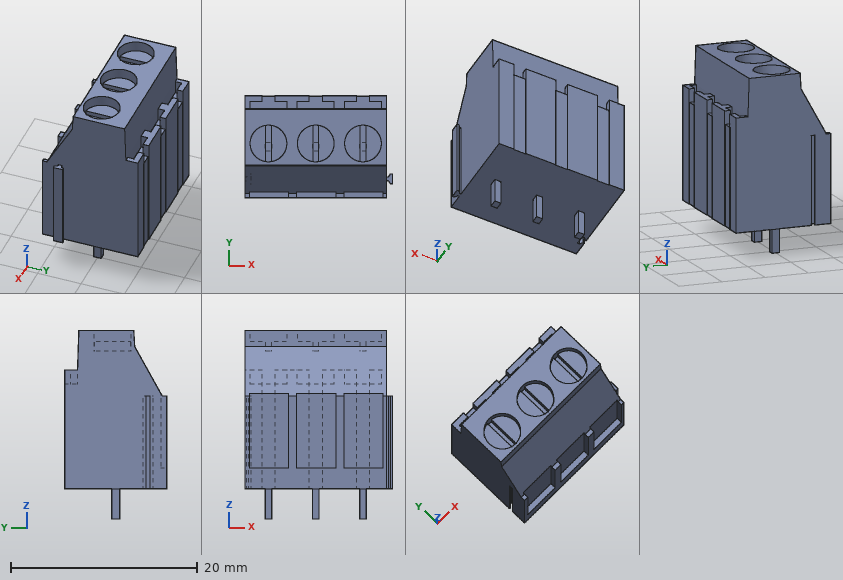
import cadquery as cq

pole_count = 3
pole_pitch = 5.08
body_width = pole_count * pole_pitch
body_depth = 11.0
body_height = 17.05

sill_depth = 0.5
sill_height = 10.0
slope_top_y = 3.45
slope_top_z = 15.3
top_front_y = 3.55
top_back_y = 9.48
ledge_front_y = 9.62
ledge_height = 12.8

screw_y = 5.85
screw_diameter = 3.95
screw_recess_depth = 1.2
driver_slot_width = 0.6
driver_slot_depth = 1.0

pocket_offset = 0.5
pocket_width = 4.2
pocket_depth = 0.65
pocket_bottom = 2.25

marker_neck_width = 1.43
marker_neck_depth = 0.66
marker_head_width = 3.98
marker_slot_depth = 1.5
rear_channel_depth = 0.07

pin_width = 0.74
pin_thickness = 0.87
pin_length = 3.25
pin_y = 5.5

rib_y = 2.05
rib_neck_width = 0.43
rib_neck_length = 0.18
rib_flare_end = 0.41
rib_head_width = 1.07
rib_length = 0.65
rib_height = sill_height

pole_centers = [(pole + 0.5) * pole_pitch for pole in range(pole_count)]


def block(x_start, x_end, y_start, y_end, z_start, z_end):
    """Axis-aligned block between the given limits."""
    size = (x_end - x_start, y_end - y_start, z_end - z_start)
    return cq.Workplane("XY").box(*size, centered=False).translate((x_start, y_start, z_start))


def make_housing():
    """Extrude the stepped side profile along X."""
    profile = [
        (0, 0),
        (body_depth, 0),
        (body_depth, ledge_height),
        (ledge_front_y, ledge_height),
        (top_back_y, body_height),
        (top_front_y, body_height),
        (slope_top_y, slope_top_z),
        (sill_depth, sill_height),
        (0, sill_height),
    ]
    return cq.Workplane("YZ").polyline(profile).close().extrude(body_width)


def make_interlock(x_base):
    """Dovetail bar that starts at x_base and widens toward +X."""
    neck = rib_neck_width / 2
    head = rib_head_width / 2
    upper_side = [(0, neck), (rib_neck_length, neck), (rib_flare_end, head), (rib_length, head)]
    lower_side = [(x, -y) for x, y in reversed(upper_side)]
    outline = upper_side + lower_side
    bar = cq.Workplane("XY").polyline(outline).close().extrude(rib_height)
    return bar.translate((x_base, rib_y, 0))


def make_screw_recess(x_center):
    """Round recess down to the screw head, with a driver slot across the head."""
    floor_z = body_height - screw_recess_depth
    slot_bottom = floor_z - driver_slot_depth
    radius = screw_diameter / 2
    recess = cq.Workplane("XY", origin=(x_center, screw_y, floor_z)).circle(radius).extrude(screw_recess_depth)
    slot_bar = block(
        x_center - driver_slot_width / 2, x_center + driver_slot_width / 2,
        screw_y - radius, screw_y + radius,
        slot_bottom, floor_z,
    )
    screw_head = (
        cq.Workplane("XY", origin=(x_center, screw_y, slot_bottom))
        .circle(radius)
        .extrude(driver_slot_depth)
    )
    return recess.union(screw_head.intersect(slot_bar))


def make_wire_pocket(x_start):
    """Shallow front pocket that runs out through the slope above it."""
    return block(x_start, x_start + pocket_width, 0, pocket_depth, pocket_bottom, body_height)


def make_marker_slot(x_center):
    """T-shaped slot in the ledge, its neck continuing as a shallow channel down the rear face."""
    neck_left = x_center - marker_neck_width / 2
    neck_right = x_center + marker_neck_width / 2
    head_left = x_center - marker_head_width / 2
    head_right = x_center + marker_head_width / 2
    neck_front = body_depth - marker_neck_depth
    channel_front = body_depth - rear_channel_depth
    floor_z = ledge_height - marker_slot_depth
    neck = block(neck_left, neck_right, neck_front, body_depth, floor_z, ledge_height)
    head = block(head_left, head_right, ledge_front_y, neck_front, floor_z, ledge_height)
    channel = block(neck_left, neck_right, channel_front, body_depth, 0, ledge_height)
    return neck.union(head).union(channel)


def make_pin(x_center):
    """Rectangular solder pin hanging below the housing."""
    return block(
        x_center - pin_width / 2, x_center + pin_width / 2,
        pin_y - pin_thickness / 2, pin_y + pin_thickness / 2,
        -pin_length, 0,
    )


result = make_housing().cut(make_interlock(0)).union(make_interlock(body_width))

for pole, pole_x in enumerate(pole_centers):
    result = result.cut(make_screw_recess(pole_x))
    result = result.cut(make_wire_pocket(pocket_offset + pole * pole_pitch))
    result = result.cut(make_marker_slot(pole_x))
    result = result.union(make_pin(pole_x))